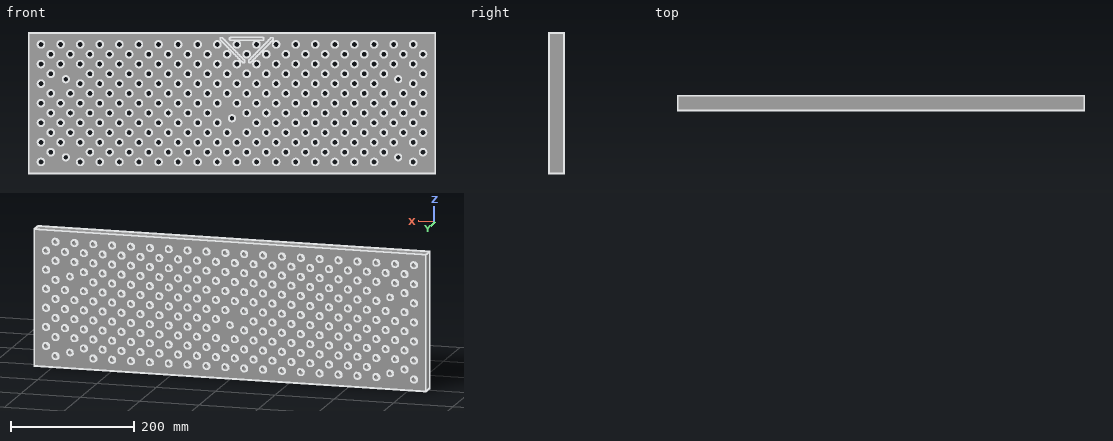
import cadquery as cq
import math

length = 660.5
thickness = 24.5
height = 228.5

grid_diameter = 10.5
grid_span_x = 620.0
grid_rows = 13
holes_per_row = 20
grid_step = grid_span_x / (2 * holes_per_row - 1)

locating_diameter = 10.0
locating_span_x = 539.5
locating_span_z = 127.0
locating_drop = 24.5
locating_clearance = grid_step

columns_off_middle = 1.5
groove_center_x = columns_off_middle * grid_step
groove_depth = 2.0
groove_width = 4.5
groove_top_margin = 10.0
groove_top = height / 2 - groove_top_margin
bar_half_length = 26.0
leg_inner_x = 5.0
leg_outer_x = 41.0
leg_height = 36.0

locating_points = [(0, -locating_drop)]
for side in (-1, 1):
    for level in (-1, 1):
        x = side * locating_span_x / 2
        z = level * locating_span_z / 2 - locating_drop
        locating_points.append((x, z))


def grid_points():
    """Grid centres, leaving out those that would crowd a locating hole."""
    points = []
    for row in range(grid_rows):
        z = ((grid_rows - 1) / 2 - row) * grid_step
        stagger = grid_step / 2 if row % 2 else -grid_step / 2
        for column in range(holes_per_row):
            x = (2 * column - holes_per_row + 1) * grid_step + stagger
            gaps = [math.hypot(x - px, z - pz) for px, pz in locating_points]
            if min(gaps) > locating_clearance:
                points.append((x, z))
    return points


def through_holes(points, diameter):
    """Cylinders along Y that pass through the whole plate."""
    return cq.Workplane("XZ").pushPoints(points).circle(diameter / 2).extrude(thickness / 2, both=True)


def groove(start, end):
    """Round-ended groove in the front face between two end centres."""
    dx = end[0] - start[0]
    dz = end[1] - start[1]
    middle = ((start[0] + end[0]) / 2, (start[1] + end[1]) / 2)
    return (
        cq.Workplane("XZ", origin=(groove_center_x, -thickness / 2, 0))
        .center(*middle)
        .slot2D(math.hypot(dx, dz) + groove_width, groove_width, math.degrees(math.atan2(dz, dx)))
        .extrude(-groove_depth)
    )


result = cq.Workplane("XY").box(length, thickness, height)
result = result.cut(through_holes(grid_points(), grid_diameter))
result = result.cut(through_holes(locating_points, locating_diameter))

result = result.cut(groove((-bar_half_length, groove_top), (bar_half_length, groove_top)))
for side in (-1, 1):
    outer_end = (side * leg_outer_x, groove_top)
    inner_end = (side * leg_inner_x, groove_top - leg_height)
    result = result.cut(groove(outer_end, inner_end))